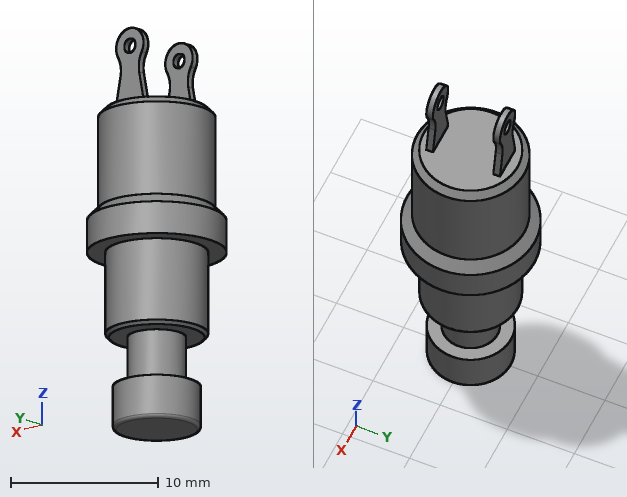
import cadquery as cq
import math

overall_length = 27.75

cap_radius = 3.0
cap_height = 3.0
cap_fillet = 0.25

stem_radius = 2.0
stem_length = 3.5

bushing_radius = 3.5
bushing_length = 6.0
bushing_chamfer = 0.25

flange_radius = 4.75
flange_height = 3.0
barrel_radius = 4.0
barrel_length = 7.02
barrel_chamfer = 0.5
flange_chamfer = flange_radius - barrel_radius

terminal_count = 2
terminal_spacing = 5.0
terminal_thickness = 0.5
terminal_base_width = 2.5
terminal_head_radius = 1.25
terminal_hole_radius = 0.5
neck_radius = 2.0
neck_joint_angle = math.radians(30)

stem_bottom = cap_height
bushing_bottom = stem_bottom + stem_length
housing_bottom = bushing_bottom + bushing_length
housing_top = housing_bottom + flange_height + barrel_length


def cylinder(radius, height, bottom):
    return cq.Workplane("XY").workplane(offset=bottom).circle(radius).extrude(height)


def make_cap():
    return cylinder(cap_radius, cap_height, 0).faces("<Z").edges().fillet(cap_fillet)


def make_stem():
    return cylinder(stem_radius, stem_length, stem_bottom)


def make_bushing():
    bushing = cylinder(bushing_radius, bushing_length, bushing_bottom)
    return bushing.faces("<Z").edges().chamfer(bushing_chamfer)


def make_housing():
    flange_top = housing_bottom + flange_height
    profile = [
        (0, housing_bottom),
        (flange_radius, housing_bottom),
        (flange_radius, flange_top - flange_chamfer),
        (barrel_radius, flange_top),
        (barrel_radius, housing_top - barrel_chamfer),
        (barrel_radius - barrel_chamfer, housing_top),
        (0, housing_top),
    ]
    return cq.Workplane("XZ").polyline(profile).close().revolve(360, (0, 0), (0, 1))


def make_terminal(y_center):
    """Flat lug: straight flaring foot, concave neck and a round eyelet head."""
    base_x = terminal_base_width / 2
    head_z = overall_length - terminal_head_radius

    center_distance = terminal_head_radius + neck_radius
    neck_x = center_distance * math.cos(neck_joint_angle)
    neck_z = head_z - center_distance * math.sin(neck_joint_angle)
    joint_x = terminal_head_radius * math.cos(neck_joint_angle)
    joint_z = head_z - terminal_head_radius * math.sin(neck_joint_angle)

    corner_x = neck_x - base_x
    corner_z = neck_z - housing_top
    corner_distance = math.hypot(corner_x, corner_z)
    edge_angle = math.atan2(corner_z, corner_x) + math.asin(neck_radius / corner_distance)
    edge_length = math.sqrt(corner_distance**2 - neck_radius**2)
    foot_x = base_x + edge_length * math.cos(edge_angle)
    foot_z = housing_top + edge_length * math.sin(edge_angle)

    waist_x = neck_x - neck_radius
    outline = (
        cq.Workplane("XZ", origin=(0, y_center, 0))
        .moveTo(-base_x, housing_top)
        .lineTo(base_x, housing_top)
        .lineTo(foot_x, foot_z)
        .threePointArc((waist_x, neck_z), (joint_x, joint_z))
        .threePointArc((0, overall_length), (-joint_x, joint_z))
        .threePointArc((-waist_x, neck_z), (-foot_x, foot_z))
        .close()
    )
    lug = outline.extrude(terminal_thickness / 2, both=True)
    eyelet = (
        cq.Workplane("XZ", origin=(0, y_center, 0))
        .center(0, head_z)
        .circle(terminal_hole_radius)
        .extrude(terminal_thickness, both=True)
    )
    return lug.cut(eyelet)


cap = make_cap()
stem = make_stem()
bushing = make_bushing()
housing = make_housing()
terminals = []
for index in range(terminal_count):
    y_center = (index - (terminal_count - 1) / 2) * terminal_spacing
    terminals.append(make_terminal(y_center).val())

result = cq.Compound.makeCompound(
    [cap.val(), stem.val(), bushing.val(), housing.val(), *terminals]
)